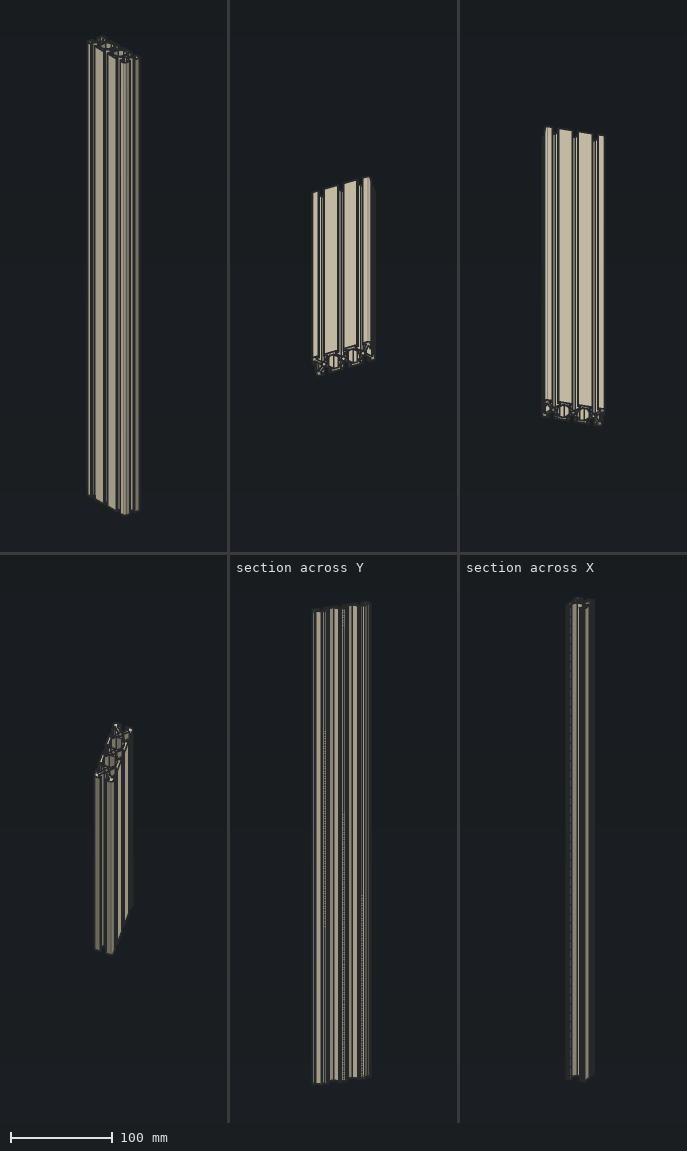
import cadquery as cq
cell = 20.0
cell_count = 3
length = 500.0
corner_radius = 2.0

slot_opening = 5.0
mouth_chamfer = 0.6
lip_thickness = 1.8
cavity_width = 11.0
cavity_radius = 0.8
slot_depth = 7.0
floor_width = 2.5

bore_diameter = 4.3

window_width = 12.5
window_height = 14.0
window_corner = 4.0

width = cell * cell_count
half_cell = cell / 2
cell_centres = [(i - (cell_count - 1) / 2) * cell for i in range(cell_count)]
window_centres = [(a + b) / 2 for a, b in zip(cell_centres, cell_centres[1:])]


def make_slot(cell_x, angle):
    """T-slot cutter opening toward +Y, turned by an angle about its cell centre."""
    floor_y = half_cell - slot_depth
    lip_y = half_cell - lip_thickness
    flank_y = floor_y + (cavity_width - floor_width) / 2
    cavity_right = [
        (floor_width / 2, floor_y),
        (cavity_width / 2, flank_y),
        (cavity_width / 2, lip_y),
    ]
    cavity_left = [(-x, y) for x, y in reversed(cavity_right)]
    cavity = cq.Workplane("XY").polyline(cavity_right + cavity_left).close().extrude(length)
    cavity = cavity.faces(">Y").edges("|Z").fillet(cavity_radius)

    mouth_right = [
        (slot_opening / 2, lip_y),
        (slot_opening / 2, half_cell - mouth_chamfer),
        (slot_opening / 2 + mouth_chamfer, half_cell),
    ]
    mouth_left = [(-x, y) for x, y in reversed(mouth_right)]
    mouth = cq.Workplane("XY").polyline(mouth_right + mouth_left).close().extrude(length)

    slot = cavity.union(mouth)
    return slot.rotate((0, 0, 0), (0, 0, 1), angle).translate((cell_x, 0, 0))


def make_window(centre_x):
    """Octagonal hollow with 45 degree corners."""
    block = cq.Workplane("XY").center(centre_x, 0).rect(window_width, window_height).extrude(length)
    return block.edges("|Z").chamfer(window_corner)


result = cq.Workplane("XY").rect(width, cell).extrude(length).edges("|Z").fillet(corner_radius)

for x in cell_centres:
    for angle in (0, 180):
        result = result.cut(make_slot(x, angle))

result = result.cut(make_slot(cell_centres[0], 90))
result = result.cut(make_slot(cell_centres[-1], -90))

for x in window_centres:
    result = result.cut(make_window(x))

bore_points = [(x, 0) for x in cell_centres]
bores = cq.Workplane("XY").pushPoints(bore_points).circle(bore_diameter / 2).extrude(length)
result = result.cut(bores)